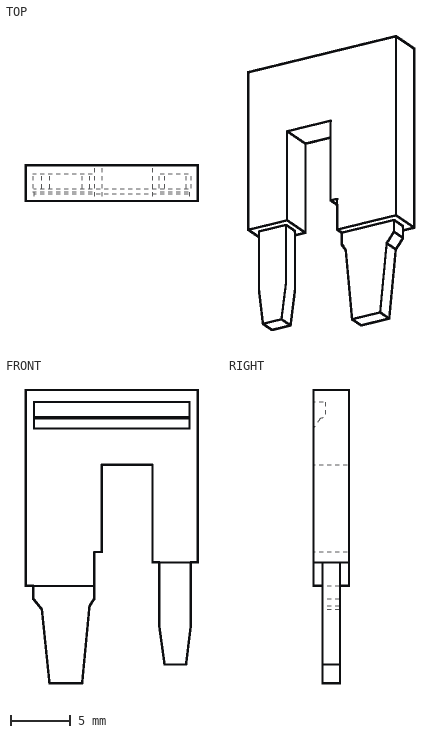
import cadquery as cq

width = 14.45
thickness = 3.0
height = 24.6

left_bottom = 8.17
right_bottom = 10.14
gap_left = 6.4
gap_right = 10.63
gap_top = 18.3
step_x = 5.75
step_z = 11.0

prong_thickness = 1.5
long_root_left = 0.65
long_shoulder_z = 7.08
long_neck_left = 1.35
long_neck_right = 5.36
long_neck_left_z = 6.2
long_neck_right_z = 6.47
long_tip_left = 2.0
long_tip_right = 4.75
short_root_left = 11.2
short_root_right = 13.85
short_taper_z = 4.8
short_tip_left = 11.64
short_tip_right = 13.45
short_tip_z = 1.57

recess_side_margin = 0.71
recess_top = height - 1.03
recess_bottom = height - 3.25
ramp_depth = 0.6
ramp_top = height - 2.39
recess_depth = 1.0
ledge_back_z = height - 2.3


def centred_plate(outline, plate_thickness):
    """Extrude an XZ outline equally to both sides of Y = 0."""
    return cq.Workplane("XZ").polyline(outline).close().extrude(plate_thickness / 2, both=True)


def make_body():
    return centred_plate([
        (0, height),
        (width, height),
        (width, right_bottom),
        (gap_right, right_bottom),
        (gap_right, gap_top),
        (gap_left, gap_top),
        (gap_left, step_z),
        (step_x, step_z),
        (step_x, left_bottom),
        (0, left_bottom),
    ], thickness)


def make_long_prong():
    return centred_plate([
        (long_root_left, left_bottom),
        (step_x, left_bottom),
        (step_x, long_shoulder_z),
        (long_neck_right, long_neck_right_z),
        (long_tip_right, 0),
        (long_tip_left, 0),
        (long_neck_left, long_neck_left_z),
        (long_root_left, long_shoulder_z),
    ], prong_thickness)


def make_short_prong():
    return centred_plate([
        (short_root_left, right_bottom),
        (short_root_right, right_bottom),
        (short_root_right, short_taper_z),
        (short_tip_right, short_tip_z),
        (short_tip_left, short_tip_z),
        (short_root_left, short_taper_z),
    ], prong_thickness)


def make_recess():
    front = -thickness / 2
    section = [
        (front, recess_top),
        (front + recess_depth, recess_top),
        (front + recess_depth, ledge_back_z),
        (front + ramp_depth, ramp_top),
        (front, recess_bottom),
    ]
    start = cq.Workplane("YZ", origin=(recess_side_margin, 0, 0))
    return start.polyline(section).close().extrude(width - 2 * recess_side_margin)


result = make_body().union(make_long_prong()).union(make_short_prong()).cut(make_recess())